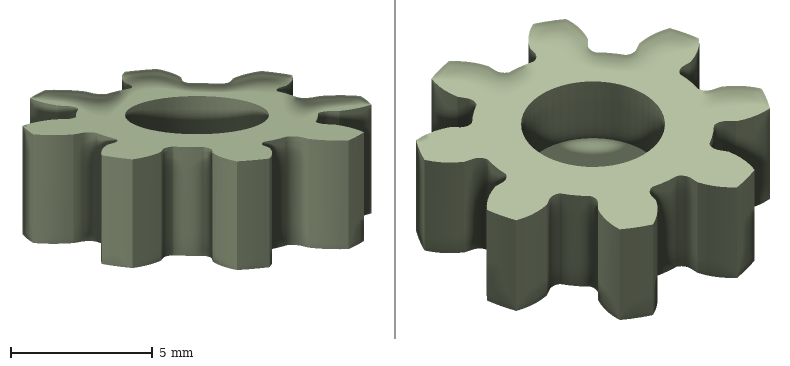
import cadquery as cq
import math

tooth_count = 8
thickness = 4.0
tip_radius = 6.34
root_radius = 4.29

tip_half_angle = 5.5
flank_mid_radius, flank_mid_half_angle = 5.7, 9.5
flank_base_radius, flank_base_half_angle = 5.07, 12.1
undercut_radius, undercut_half_angle = 4.77, 11.9
neck_radius, neck_half_angle = 4.54, 12.2
root_half_angle = 15.2

first_tooth_angle = -6.3

pocket_diameter = 5.1
pocket_depth = 2.5
shaft_diameter = 1.0

pitch_angle = 360.0 / tooth_count


def polar(radius, degrees):
    angle = math.radians(degrees)
    return (radius * math.cos(angle), radius * math.sin(angle))


def add_tooth(outline, center):
    """Continue the outline counter-clockwise round one tooth and the root after it."""
    return (
        outline
        .threePointArc(
            polar(neck_radius, center - neck_half_angle),
            polar(undercut_radius, center - undercut_half_angle),
        )
        .lineTo(*polar(flank_base_radius, center - flank_base_half_angle))
        .threePointArc(
            polar(flank_mid_radius, center - flank_mid_half_angle),
            polar(tip_radius, center - tip_half_angle),
        )
        .threePointArc(polar(tip_radius, center), polar(tip_radius, center + tip_half_angle))
        .threePointArc(
            polar(flank_mid_radius, center + flank_mid_half_angle),
            polar(flank_base_radius, center + flank_base_half_angle),
        )
        .lineTo(*polar(undercut_radius, center + undercut_half_angle))
        .threePointArc(
            polar(neck_radius, center + neck_half_angle),
            polar(root_radius, center + root_half_angle),
        )
        .threePointArc(
            polar(root_radius, center + pitch_angle / 2),
            polar(root_radius, center + pitch_angle - root_half_angle),
        )
    )


def make_gear_blank():
    start = polar(root_radius, first_tooth_angle - root_half_angle)
    outline = cq.Workplane("XY").moveTo(*start)
    for tooth in range(tooth_count):
        outline = add_tooth(outline, first_tooth_angle + tooth * pitch_angle)
    return outline.close().extrude(thickness)


def cut_bore(gear):
    return gear.faces(">Z").workplane(origin=(0, 0, thickness)).cboreHole(
        shaft_diameter, pocket_diameter, pocket_depth
    )


result = cut_bore(make_gear_blank())